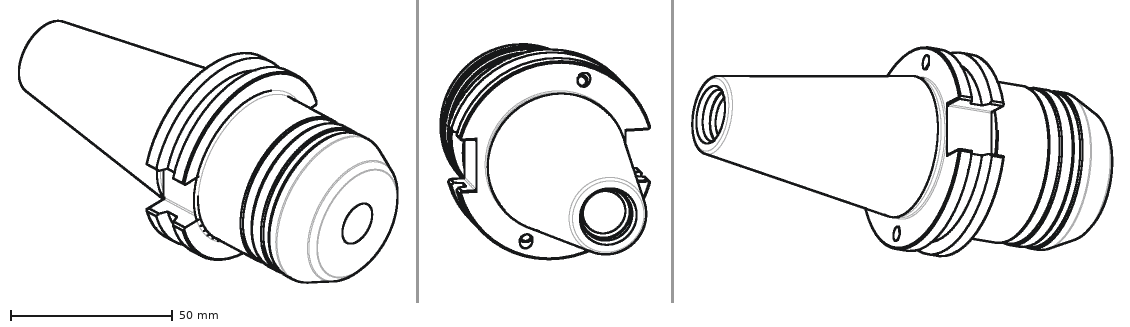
import cadquery as cq
import math

overall_length = 132.8
taper_length = 68.4
gauge_radius = 22.2
taper_ratio = 7 / 24
tail_radius = gauge_radius - taper_length * taper_ratio / 2
tail_fillet = 0.9

neck_radius = 21.9
neck_step_length = 1.3
neck_fillet = 0.4

flange_start = 71.5
flange_end = 87.4
flange_diameter = 63.3
flange_radius = flange_diameter / 2
rim_chamfer = 0.4
groove_center = 79.4
groove_root_radius = 28.1
groove_root_width = 4.0
groove_mouth_width = 7.2

body_radius = 24.7
body_fillet = 0.9
ring_radius = 24.3
ring_wall_run = 0.7
ring_spans = [(106.6, 110.9), (115.3, 118.2)]
nose_cone_start = 121.5
nose_cone_end = 130.9
nose_cone_radius = 20.3
nose_face_radius = 18.2
nose_blend = 1.0
nose_face_fillet = 0.4

bore_radius = 6.8
counterbore_radius = 8.1
counterbore_mouth_radius = 9.0
counterbore_lead_in = 1.7
counterbore_depth = 4.2
counterbore_floor_radius = 7.8
counterbore_cone_end = 5.6

slot_width = 16.2
slot_edge_chamfer = 0.8
slot_lead_in = 0.4
slot_floor_fillet = 0.4
shallow_slot_floor = 25.1
deep_slot_floor = 22.5
slot_overrun = 1.3

coolant_pitch_radius = 27.0
coolant_angle = 20.0
coolant_tilt = 27.0
coolant_mouth_radius = 2.0
coolant_mouth_depth = 2.0
coolant_radius = 1.5
coolant_depth = 13.3


def revolve_about_x(profile):
    """Full turn of an (axial, radial) profile about the X axis."""
    return profile.close().revolve(360, (0, 0, 0), (1, 0, 0))


def circle_edge(body, x, radius):
    """Select the circular edge of the given radius at axial position x."""
    margin = 0.01
    low_corner = (x - margin, -radius - margin, -radius - margin)
    high_corner = (x + margin, radius + margin, radius + margin)
    return body.edges(cq.selectors.BoxSelector(low_corner, high_corner, boundingbox=True))


def make_outside():
    profile = (
        cq.Workplane("XY")
        .lineTo(0, tail_radius)
        .lineTo(taper_length, gauge_radius)
        .lineTo(taper_length + neck_step_length, neck_radius)
        .lineTo(flange_start - neck_fillet, neck_radius)
        .radiusArc((flange_start, neck_radius + neck_fillet), -neck_fillet)
        .lineTo(flange_start, flange_radius - rim_chamfer)
        .lineTo(flange_start + rim_chamfer, flange_radius)
        .lineTo(groove_center - groove_mouth_width / 2, flange_radius)
        .lineTo(groove_center - groove_root_width / 2, groove_root_radius)
        .lineTo(groove_center + groove_root_width / 2, groove_root_radius)
        .lineTo(groove_center + groove_mouth_width / 2, flange_radius)
        .lineTo(flange_end - rim_chamfer, flange_radius)
        .lineTo(flange_end, flange_radius - rim_chamfer)
        .lineTo(flange_end, body_radius + body_fillet)
        .radiusArc((flange_end + body_fillet, body_radius), -body_fillet)
    )
    for ring_start, ring_end in ring_spans:
        profile = (
            profile.lineTo(ring_start - ring_wall_run / 2, body_radius)
            .lineTo(ring_start + ring_wall_run / 2, ring_radius)
            .lineTo(ring_end - ring_wall_run / 2, ring_radius)
            .lineTo(ring_end + ring_wall_run / 2, body_radius)
        )
    profile = (
        profile.lineTo(nose_cone_start, body_radius)
        .lineTo(nose_cone_end, nose_cone_radius)
        .lineTo(overall_length, nose_face_radius)
        .lineTo(overall_length, 0)
    )
    outside = revolve_about_x(profile)
    outside = outside.faces("<X").edges().fillet(tail_fillet)
    outside = outside.faces(">X").edges().fillet(nose_face_fillet)
    for edge_x, edge_radius in (
        (nose_cone_start, body_radius),
        (nose_cone_end, nose_cone_radius),
    ):
        outside = circle_edge(outside, edge_x, edge_radius).fillet(nose_blend)
    return outside


def make_bore():
    profile = (
        cq.Workplane("XY")
        .lineTo(0, counterbore_mouth_radius)
        .lineTo(counterbore_lead_in, counterbore_radius)
        .lineTo(counterbore_depth, counterbore_radius)
        .lineTo(counterbore_depth, counterbore_floor_radius)
        .lineTo(counterbore_cone_end, bore_radius)
        .lineTo(overall_length, bore_radius)
        .lineTo(overall_length, 0)
    )
    return revolve_about_x(profile)


def make_slot(side, floor):
    """Drive slot through the flange on the +Y (side=1) or -Y (side=-1) side."""
    half_width = slot_width / 2
    mouth_half_width = half_width + slot_edge_chamfer
    mouth = math.sqrt(flange_radius**2 - mouth_half_width**2)
    outside = flange_radius + slot_overrun
    flare = mouth_half_width + outside - mouth
    channel = (
        cq.Workplane("YZ", origin=(flange_start, 0, 0))
        .moveTo(side * floor, -half_width)
        .lineTo(side * (mouth - slot_edge_chamfer), -half_width)
        .lineTo(side * outside, -flare)
        .lineTo(side * outside, flare)
        .lineTo(side * (mouth - slot_edge_chamfer), half_width)
        .lineTo(side * floor, half_width)
        .close()
        .extrude(flange_end - flange_start)
    )
    floor_face = "<Y" if side > 0 else ">Y"
    channel = channel.faces(floor_face).edges("|X").fillet(slot_floor_fillet)
    lead_in_half_width = half_width + slot_lead_in
    lead_in = (
        cq.Workplane("XZ", origin=(0, side * floor, 0))
        .moveTo(flange_start, -lead_in_half_width)
        .lineTo(flange_start + slot_lead_in, -half_width)
        .lineTo(flange_start + slot_lead_in, half_width)
        .lineTo(flange_start, lead_in_half_width)
        .close()
        .extrude(-side * (outside - floor))
    )
    return channel.union(lead_in)


def make_coolant_hole(turn):
    """Stepped blind hole in the flange face, turned about X from the +Z direction."""
    tilt = math.radians(coolant_tilt)
    mouth = cq.Vector(flange_start, 0, coolant_pitch_radius)
    direction = cq.Vector(math.cos(tilt), 0, -math.sin(tilt))
    start = mouth - direction * coolant_mouth_radius
    wide = cq.Solid.makeCylinder(
        coolant_mouth_radius, coolant_mouth_radius + coolant_mouth_depth, start, direction
    )
    narrow = cq.Solid.makeCylinder(coolant_radius, coolant_depth, mouth, direction)
    hole = cq.Workplane(wide).union(cq.Workplane(narrow))
    return hole.rotate((0, 0, 0), (1, 0, 0), turn)


result = make_outside().cut(make_bore())
result = result.cut(make_slot(1, shallow_slot_floor))
result = result.cut(make_slot(-1, deep_slot_floor))
for half_turn in (0, 180):
    result = result.cut(make_coolant_hole(coolant_angle + half_turn))